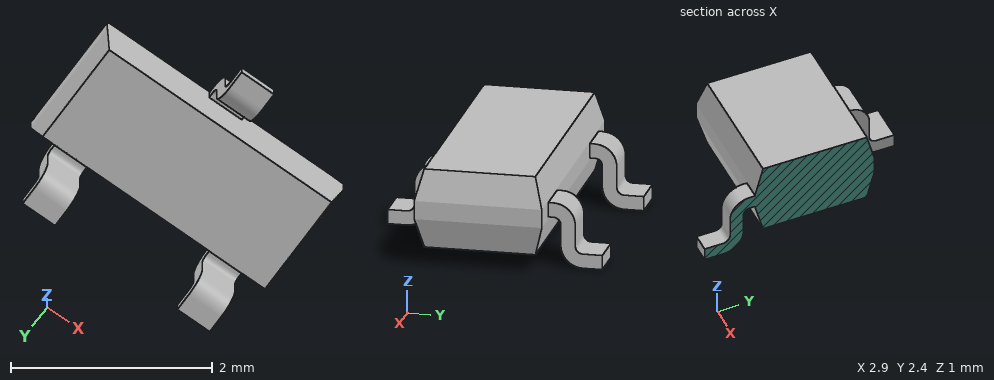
import cadquery as cq
import math

BODY_LENGTH = 2.9
BODY_WIDTH = 1.3
STANDOFF = 0.18
TOP_Z = 1.0
BELT_HEIGHT = 0.19
DRAFT_ANGLE = 15.0

LEAD_SPAN = 2.4
LEAD_WIDTH = 0.4
LEAD_THICKNESS = 0.15
LEAD_PITCH = 0.95
FOOT_LENGTH = 0.2
INNER_RADIUS = 0.075
SHOULDER_LENGTH = 0.05
LEAD_EMBED = 0.1

OUTER_RADIUS = INNER_RADIUS + LEAD_THICKNESS
MID_Z = (STANDOFF + TOP_Z) / 2
TAPER_HEIGHT = (TOP_Z - STANDOFF - BELT_HEIGHT) / 2
LEAD_TOP_Z = MID_Z + LEAD_THICKNESS / 2


def body_half(direction):
    """Half of the body on one side of its mid plane: belt, then drafted block."""
    belt = (
        cq.Workplane("XY", origin=(0, 0, MID_Z))
        .rect(BODY_LENGTH, BODY_WIDTH)
        .extrude(direction * BELT_HEIGHT / 2)
    )
    inset = TAPER_HEIGHT * math.tan(math.radians(DRAFT_ANGLE))
    block = (
        cq.Workplane("XY", origin=(0, 0, MID_Z + direction * BELT_HEIGHT / 2))
        .rect(BODY_LENGTH, BODY_WIDTH)
        .workplane(offset=direction * TAPER_HEIGHT)
        .rect(BODY_LENGTH - 2 * inset, BODY_WIDTH - 2 * inset)
        .loft(ruled=True)
    )
    return belt.union(block)


def lead(x_center):
    """Gull-wing lead leaving the +Y side of the body, centred at x_center."""
    root_y = BODY_WIDTH / 2 - LEAD_EMBED
    bend_y = BODY_WIDTH / 2 + SHOULDER_LENGTH
    outer_y = bend_y + OUTER_RADIUS
    inner_y = bend_y + INNER_RADIUS
    toe_y = LEAD_SPAN / 2
    foot_y = toe_y - FOOT_LENGTH
    shoulder_bottom_z = LEAD_TOP_Z - LEAD_THICKNESS
    return (
        cq.Workplane("YZ", origin=(x_center - LEAD_WIDTH / 2, 0, 0))
        .moveTo(root_y, LEAD_TOP_Z)
        .lineTo(bend_y, LEAD_TOP_Z)
        .radiusArc((outer_y, LEAD_TOP_Z - OUTER_RADIUS), OUTER_RADIUS)
        .lineTo(outer_y, LEAD_THICKNESS + INNER_RADIUS)
        .radiusArc((foot_y, LEAD_THICKNESS), -INNER_RADIUS)
        .lineTo(toe_y, LEAD_THICKNESS)
        .lineTo(toe_y, 0)
        .lineTo(foot_y, 0)
        .radiusArc((inner_y, OUTER_RADIUS), OUTER_RADIUS)
        .lineTo(inner_y, shoulder_bottom_z - INNER_RADIUS)
        .radiusArc((bend_y, shoulder_bottom_z), -INNER_RADIUS)
        .lineTo(root_y, shoulder_bottom_z)
        .close()
        .extrude(LEAD_WIDTH)
    )


result = body_half(1).union(body_half(-1))

for x_center in (-LEAD_PITCH, LEAD_PITCH):
    result = result.union(lead(x_center))
result = result.union(lead(0).rotate((0, 0, 0), (0, 0, 1), 180))
result = result.clean()